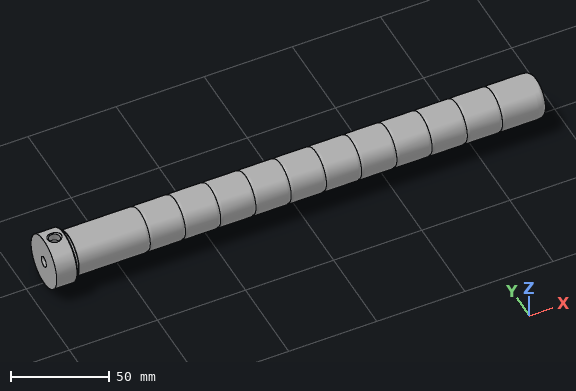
import cadquery as cq

length = 280.0
head_radius = 30.0 / 2
shaft_radius = 25.0 / 2

head_length = 12.0
head_chamfer = 0.5
neck_end = 14.0
neck_depth = 0.5

groove_count = 11
first_groove = 54.5
last_groove = 254.5
groove_pitch = (last_groove - first_groove) / (groove_count - 1)
groove_width = 3.5
groove_depth = 0.5

rolloff_length = 2.5
rolloff_drop = 0.3
nose_length = 2.5
nose_drop = 3.5

centre_mouth_radius = 6.0 / 2
centre_pilot_radius = 1.5
centre_sink_depth = 2.8
centre_pilot_end = 4.5
centre_tip_end = 5.3

cross_mouth_radius = 4.0
cross_bore_radius = 3.0
cross_pilot_radius = 1.7
cross_bore_depth = 5.0
cross_pilot_end = 6.7
cross_tip_end = 7.5
cross_hole_x = head_length / 2


def pin_body():
    """Headed pin turned about the X axis, with its back face at x = 0."""
    nose_start = length - nose_length
    rolloff_start = nose_start - rolloff_length
    rolloff_radius = shaft_radius - rolloff_drop
    nose_radius = rolloff_radius - nose_drop
    neck_radius = shaft_radius - neck_depth
    profile = (
        cq.Workplane("XY")
        .lineTo(0, head_radius)
        .lineTo(head_length - head_chamfer, head_radius)
        .lineTo(head_length, head_radius - head_chamfer)
        .lineTo(head_length, neck_radius)
        .lineTo(neck_end, neck_radius)
        .lineTo(neck_end, shaft_radius)
        .lineTo(rolloff_start, shaft_radius)
        .tangentArcPoint((nose_start, rolloff_radius), relative=False)
        .tangentArcPoint((length, nose_radius), relative=False)
        .lineTo(length, 0)
        .close()
    )
    return profile.revolve(360, (0, 0, 0), (1, 0, 0))


def ring_groove(x):
    """Ring cutter centred at x; its sides roll off the shaft and meet in a sharp valley."""
    half = groove_width / 2
    side_radius = (half**2 + groove_depth**2) / (2 * groove_depth)
    section = (
        cq.Workplane("XY")
        .moveTo(x - half, shaft_radius)
        .radiusArc((x, shaft_radius - groove_depth), side_radius)
        .radiusArc((x + half, shaft_radius), side_radius)
        .close()
    )
    return section.revolve(360, (0, 0, 0), (1, 0, 0))


def centre_hole():
    """Countersunk centre hole cutter running along +X from the back face."""
    section = cq.Workplane("XY").polyline([
        (0, 0),
        (0, centre_mouth_radius),
        (centre_sink_depth, centre_pilot_radius),
        (centre_pilot_end, centre_pilot_radius),
        (centre_tip_end, 0),
    ]).close()
    return section.revolve(360, (0, 0, 0), (1, 0, 0))


def cross_hole():
    """Stepped hole cutter running down -Z from the top of the head."""
    chamfer = cross_mouth_radius - cross_bore_radius
    section = cq.Workplane("XZ", origin=(cross_hole_x, 0, head_radius)).polyline([
        (0, 0),
        (cross_mouth_radius, 0),
        (cross_bore_radius, -chamfer),
        (cross_bore_radius, -cross_bore_depth),
        (cross_pilot_radius, -cross_bore_depth),
        (cross_pilot_radius, -cross_pilot_end),
        (0, -cross_tip_end),
    ]).close()
    return section.revolve(360, (0, 0, 0), (0, 1, 0))


pin = pin_body()
for index in range(groove_count):
    pin = pin.cut(ring_groove(first_groove + index * groove_pitch))
pin = pin.cut(centre_hole()).cut(cross_hole())

result = pin.translate((-length / 2, 0, 0))